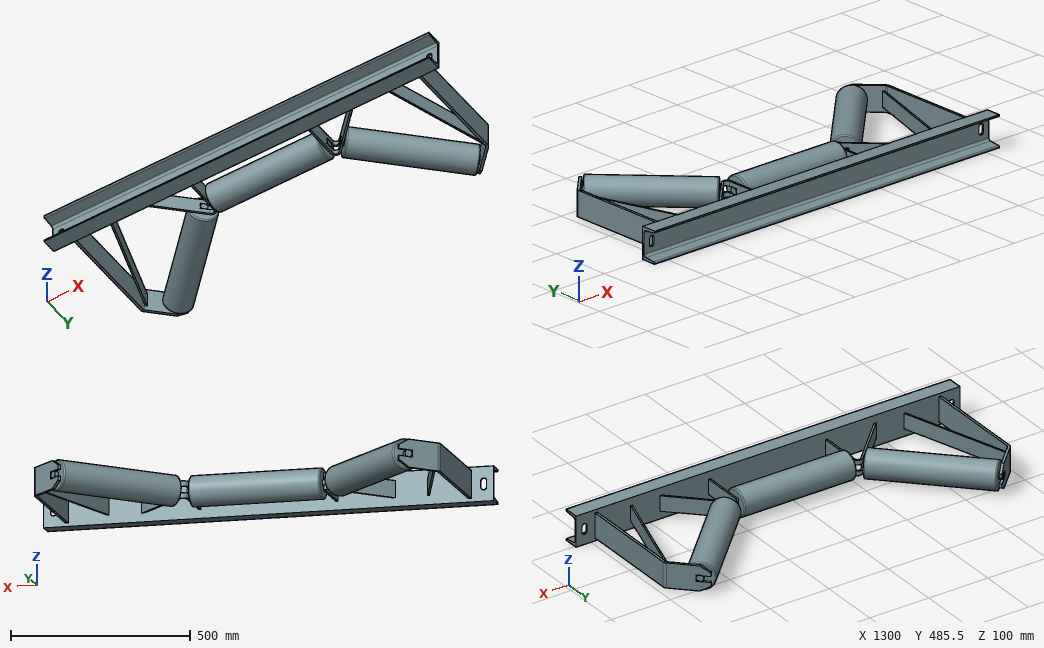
import cadquery as cq
import math


channel_length = 1300.0
channel_height = 100.0
channel_depth = 50.0
web_thickness = 6.0
flange_root_thickness = 10.0
flange_tip_thickness = 6.0
root_radius = 8.0
tip_radius = 4.0
mount_slot_width = 17.0
mount_slot_length = 34.0
mount_slot_inset = 29.0

roller_diameter = 88.0
roller_length = 380.0
roller_edge_radius = 4.0
bracket_gap = 390.0
shaft_diameter = 22.0
shaft_flat_width = 20.0
shaft_seat_depth = 6.0
middle_axis_y = 166.0
slot_cutter_depth = 31.0
trough_angle = 45.0

inner_thickness = 6.0
inner_width = 50.0
inner_bend_radius = 15.0
shaft_to_apex = 55.0

outer_thickness = 8.0
outer_width = 80.0
outer_bend_radius = 15.0
outer_post_x = 586.0
arm_reach = 31.0
arm_chamfer_length = 31.0
arm_chamfer_width = 18.0

strut_thickness = 5.0
strut_width = 50.0
strut_foot_x = 465.0
strut_top_offset = 5.0

slope_x = math.cos(math.radians(trough_angle))
slope_y = math.sin(math.radians(trough_angle))
apex = cq.Vector(-bracket_gap / 2, middle_axis_y + shaft_to_apex, 0)
along_arm = cq.Vector(slope_y, slope_x, 0)
along_roller = cq.Vector(-slope_x, slope_y, 0)
middle_seat = cq.Vector(-bracket_gap / 2, middle_axis_y, 0)
inner_seat = apex - along_arm * shaft_to_apex
outer_seat = inner_seat + along_roller * bracket_gap


def point_on_slope_at_x(start, x):
    """Point with the given X on the line through start along the arm."""
    return start + along_arm * ((x - start.x) / along_arm.x)


def point_on_slope_at_y(start, y):
    """Point with the given Y on the line through start along the arm."""
    return start + along_arm * ((y - start.y) / along_arm.y)


def plate(points, width):
    """Flat outline in XY, extruded evenly to both sides of Z = 0."""
    outline = [(p.x, p.y) for p in points]
    return cq.Workplane("XY").polyline(outline).close().extrude(width / 2, both=True)


def round_corner(body, corner, radius):
    """Round the edge along Z that passes through a corner of the outline."""
    return body.edges(cq.selectors.NearestToPointSelector(corner.toTuple())).fillet(radius)


def seat_slot(seat, open_direction, length):
    """Cutter for a shaft slot with a flat end below the shaft, open along open_direction."""
    cutter_plane = cq.Plane(origin=seat, xDir=open_direction, normal=(0, 0, 1))
    return (
        cq.Workplane(cutter_plane)
        .center(length / 2 - shaft_diameter / 2, 0)
        .box(length, slot_cutter_depth, shaft_flat_width)
    )


def make_channel():
    half_height = channel_height / 2
    web_y = channel_depth - web_thickness
    root_z = half_height - flange_root_thickness
    tip_z = half_height - flange_tip_thickness
    body = (
        cq.Workplane("YZ")
        .polyline([
            (0, half_height), (channel_depth, half_height), (channel_depth, -half_height), (0, -half_height),
            (0, -tip_z), (web_y, -root_z), (web_y, root_z), (0, tip_z),
        ])
        .close()
        .extrude(channel_length / 2, both=True)
    )
    for z_sign in (1, -1):
        body = round_corner(body, cq.Vector(0, web_y, z_sign * root_z), root_radius)
        body = round_corner(body, cq.Vector(0, 0, z_sign * tip_z), tip_radius)
    slot_x = channel_length / 2 - mount_slot_inset
    slots = (
        cq.Workplane("XZ")
        .pushPoints([(-slot_x, 0), (slot_x, 0)])
        .slot2D(mount_slot_length, mount_slot_width, 90)
        .extrude(-channel_depth)
    )
    return body.cut(slots)


def make_roller(seat, axis):
    """Roller with a flatted shaft, carried between a plate face at seat and another along axis."""
    end_gap = (bracket_gap - roller_length) / 2
    shaft_length = bracket_gap + 2 * shaft_seat_depth
    shell_end = cq.Plane(origin=seat + axis * end_gap, xDir=(0, 0, 1), normal=axis)
    shaft_end = cq.Plane(origin=seat - axis * shaft_seat_depth, xDir=(0, 0, 1), normal=axis)
    shell = cq.Workplane(shell_end).circle(roller_diameter / 2).extrude(roller_length)
    shell = shell.edges("%CIRCLE").fillet(roller_edge_radius)
    shaft = cq.Workplane(shaft_end).circle(shaft_diameter / 2).extrude(shaft_length)
    flats = cq.Workplane(shaft_end).rect(shaft_flat_width, shaft_diameter).extrude(shaft_length)
    return shell.union(shaft.intersect(flats))


def make_inner_bracket():
    """Post and sloping leg, joined by a bend that the shaft slot splits into two fingers."""
    leg_shift = along_roller * -inner_thickness
    inside_apex = point_on_slope_at_x(apex + leg_shift, apex.x - inner_thickness)
    body = plate(
        [
            cq.Vector(apex.x, channel_depth, 0),
            apex,
            point_on_slope_at_y(apex, channel_depth),
            point_on_slope_at_y(inside_apex, channel_depth),
            inside_apex,
            cq.Vector(inside_apex.x, channel_depth, 0),
        ],
        inner_width,
    )
    body = round_corner(body, apex, inner_bend_radius)
    body = round_corner(body, inside_apex, inner_bend_radius - inner_thickness)
    slot_length = shaft_to_apex + shaft_diameter / 2
    body = body.cut(seat_slot(middle_seat, cq.Vector(0, 1, 0), slot_length))
    return body.cut(seat_slot(inner_seat, along_arm, slot_length))


outer_inside_corner = point_on_slope_at_x(outer_seat, outer_thickness - outer_post_x)


def make_outer_bracket():
    """Upright post bent over into an arm with a slotted, chamfered end."""
    arm_end = outer_seat + along_arm * arm_reach
    through_arm = along_roller * outer_thickness
    outside_corner = point_on_slope_at_x(outer_seat + through_arm, -outer_post_x)
    body = plate(
        [
            cq.Vector(outside_corner.x, channel_depth, 0),
            outside_corner,
            arm_end + through_arm,
            arm_end,
            outer_inside_corner,
            cq.Vector(outer_inside_corner.x, channel_depth, 0),
        ],
        outer_width,
    )
    body = round_corner(body, outside_corner, outer_bend_radius)
    body = round_corner(body, outer_inside_corner, outer_bend_radius - outer_thickness)
    end_plane = cq.Plane(origin=arm_end, xDir=along_arm, normal=along_roller)
    for z_sign in (1, -1):
        edge_z = z_sign * outer_width / 2
        corner = (
            cq.Workplane(end_plane)
            .polyline([(0, edge_z), (-arm_chamfer_length, edge_z), (0, edge_z - z_sign * arm_chamfer_width)])
            .close()
            .extrude(outer_thickness)
        )
        body = body.cut(corner)
    return body.cut(seat_slot(outer_seat, along_arm, arm_reach + shaft_diameter))


def make_strut():
    """Leaning plate from the channel web to the underside of the outer bracket's arm."""
    foot = cq.Vector(-strut_foot_x, channel_depth, 0)
    top = outer_inside_corner + along_arm * strut_top_offset
    lean = math.atan2(foot.x - top.x, top.y - foot.y)
    top_cut = strut_thickness / math.sin(math.radians(90 - trough_angle) + lean)
    foot_cut = strut_thickness / math.cos(lean)
    return plate([foot, top, top + along_arm * top_cut, foot + cq.Vector(foot_cut, 0, 0)], strut_width)


channel = make_channel()
middle_roller = make_roller(middle_seat, cq.Vector(1, 0, 0))
tilted_roller = make_roller(inner_seat, along_roller)
inner_bracket = make_inner_bracket()
outer_bracket = make_outer_bracket()
strut = make_strut()

bodies = [*channel.solids().vals(), *middle_roller.solids().vals()]
for side_body in (tilted_roller, inner_bracket, outer_bracket, strut):
    bodies += [*side_body.solids().vals(), *side_body.mirror("YZ").solids().vals()]

result = cq.Compound.makeCompound(bodies)